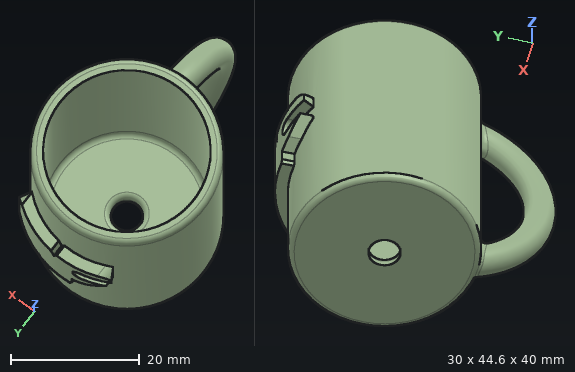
import cadquery as cq
import math

body_radius = 15.0
body_height = 40.0
bore_radius = 13.0
floor_thickness = body_radius - bore_radius
edge_radius = 1.0
drain_radius = 2.5

handle_x = 0.95
handle_z = 19.05
bar_radius = 2.5
handle_reach = 27.53
handle_bend_radius = 16.93
handle_end_angle = 75
handle_y = handle_bend_radius + bar_radius - handle_reach

overall_length = 44.55
plate_radius = overall_length - handle_reach
plate_left_angle = 29
plate_right_angle = 42.4
plate_bottom = 15.1
plate_top = 25.95
joint_overlap = 0.45
arm_bottom = 23.65
arm_tip_top = 25.05
arm_round_middle = (-7.5, 25.7)
arm_round_end = -6.25
tongue_tip = (-7.5, 21.15)
tongue_root = (-4, 20.95)
tongue_elbow = (-4.45, 18.7)
bowl_middle = (-2.23, 22.25)
foot_left = -2.05
foot_bottom_left = -1.8
foot_top = 17.75
foot_chamfer_top = 15.85
nick_left = 0.8
nick_right = 1.95
nick_bottom = (1.35, 24.5)
end_slope_width = 1.45
end_slope_bottom = 23.6


def make_body():
    """Outer cylinder with rounded top and bottom edges."""
    body = cq.Workplane("XY").circle(body_radius).extrude(body_height)
    return body.faces("<Z or >Z").edges().fillet(edge_radius)


def handle_point(angle):
    """Point (Y, Z) on the handle centreline, angle in degrees up from its outermost point."""
    turn = math.radians(angle)
    return (
        handle_y - handle_bend_radius * math.cos(turn),
        handle_z + handle_bend_radius * math.sin(turn),
    )


def make_handle():
    """Arc of round bar whose ends finish inside the body."""
    path = (
        cq.Workplane("YZ", origin=(handle_x, 0, 0))
        .moveTo(*handle_point(handle_end_angle))
        .threePointArc(handle_point(0), handle_point(-handle_end_angle))
    )
    start_y, start_z = handle_point(handle_end_angle)
    turn = math.radians(handle_end_angle)
    start_plane = cq.Plane(
        origin=(handle_x, start_y, start_z),
        xDir=(1, 0, 0),
        normal=(0, -math.sin(turn), -math.cos(turn)),
    )
    return cq.Workplane(start_plane).circle(bar_radius).sweep(path)


def make_plate():
    """Curved plate with a hooked notch open towards -X."""
    left = -plate_radius * math.sin(math.radians(plate_left_angle))
    right = plate_radius * math.sin(math.radians(plate_right_angle))
    outline = (
        cq.Workplane("XZ")
        .moveTo(left, arm_tip_top)
        .threePointArc(arm_round_middle, (arm_round_end, plate_top))
        .lineTo(nick_left, plate_top)
        .lineTo(*nick_bottom)
        .lineTo(nick_right, plate_top)
        .lineTo(right - end_slope_width, plate_top)
        .lineTo(right, end_slope_bottom)
        .lineTo(right, plate_bottom)
        .lineTo(foot_bottom_left, plate_bottom)
        .lineTo(foot_left, foot_chamfer_top)
        .lineTo(foot_left, foot_top)
        .lineTo(*tongue_elbow)
        .lineTo(*tongue_tip)
        .lineTo(*tongue_root)
        .threePointArc(bowl_middle, (tongue_root[0], arm_bottom))
        .lineTo(left, arm_bottom)
        .close()
        .extrude(-plate_radius)
    )
    shell = (
        cq.Workplane("XY")
        .circle(plate_radius)
        .circle(body_radius - joint_overlap)
        .extrude(body_height)
    )
    wedge_y = 2 * plate_radius
    wedge = (
        cq.Workplane("XY")
        .lineTo(wedge_y * math.tan(math.radians(plate_right_angle)), wedge_y)
        .lineTo(-wedge_y * math.tan(math.radians(plate_left_angle)), wedge_y)
        .close()
        .extrude(body_height)
    )
    return outline.intersect(shell).intersect(wedge)


def make_cavity():
    """Drinking space with a rounded lower edge."""
    cavity = (
        cq.Workplane("XY", origin=(0, 0, floor_thickness))
        .circle(bore_radius)
        .extrude(body_height - floor_thickness)
    )
    return cavity.faces("<Z").edges().fillet(edge_radius)


def make_drain():
    """Hole through the floor, its upper edge rounded outwards."""
    flare_start = floor_thickness - edge_radius
    mouth_radius = drain_radius + edge_radius
    arc_offset = edge_radius * math.sqrt(0.5)
    arc_middle = (mouth_radius - arc_offset, flare_start + arc_offset)
    return (
        cq.Workplane("XZ")
        .lineTo(drain_radius, 0)
        .lineTo(drain_radius, flare_start)
        .threePointArc(arc_middle, (mouth_radius, floor_thickness))
        .lineTo(0, floor_thickness)
        .close()
        .revolve(360, (0, 0, 0), (0, 1, 0))
    )


mug = make_body().union(make_handle())
select_margin = 0.05
joint_zone = cq.selectors.BoxSelector(
    (handle_x - 2 * bar_radius, -body_radius - bar_radius, edge_radius + select_margin),
    (handle_x + 2 * bar_radius, -body_radius + bar_radius, body_height - edge_radius - select_margin),
)
mug = mug.edges(joint_zone).fillet(edge_radius)
result = mug.union(make_plate()).cut(make_cavity()).cut(make_drain())